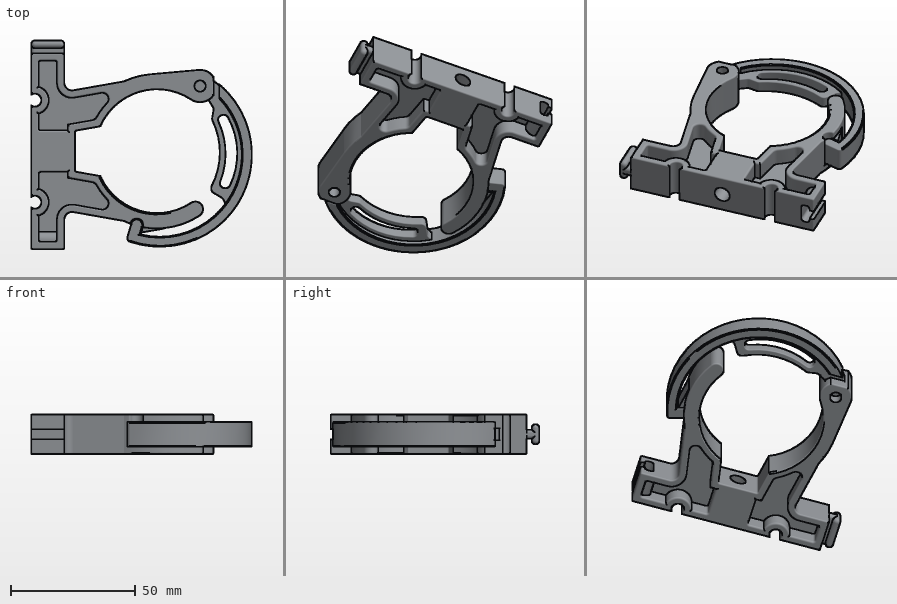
import cadquery as cq
import math

HOUSING_HEIGHT = 16.0
BASE_LENGTH = 78.85
BASE_DEPTH = 13.4
WALL = 3.0
EDGE_ROUND = 0.6
CORNER_ROUND = 0.7
BASE_FILLET = 3.0

RING_X = 50.6
RING_INNER_RADIUS = 24.9
RING_OUTER_RADIUS = 31.1
ARM_ANGLE = math.radians(10)
ARM_OUTER_Y = 23.9
SADDLE_X = 17.7
SADDLE_HALF_WIDTH = 8.2
TIP_ANGLE = math.radians(-56.5)

HINGE_X, HINGE_Y = 67.9, 26.2
HINGE_FLAT_X = 73.35
HINGE_HOLE_DIAMETER = 4.5
EYE_RADIUS = 5.0

POCKET_FLOOR = 0.6
POCKET_END_Y = 8.35
POCKET_MOUTH_ROUND = 0.8
POCKET_CORNER_ROUND = 0.9
POCKET_TIP_ROUND = 2.5
MOUNT_NOTCH_X, MOUNT_NOTCH_Y = 1.5, 20.5
MOUNT_NOTCH_RADIUS = 2.6
SCREW_HOLE_DIAMETER = 6.5

COUPLING_REACH = 5.15
BAR_DIAMETER = 3.2
BAR_HEIGHT = 8.2
BAR_ROUND = 1.59
STEM_HEIGHT = 3.7
STEM_ROUND = 1.3
GROOVE_DEPTH = 5.3
GROOVE_WIDTH = 3.55
GROOVE_ROUND = 1.4
GROOVE_WALL = 1.8
NECK_HEIGHT = 4.1

LATCH_THICKNESS = 9.95
WEB_THICKNESS = 5.0
LATCH_X, LATCH_Y = 51.8, -1.4
LATCH_OUTER_RADIUS = 37.0
RIM_WIDTH = 4.1
RIM_START_X = 75.7
RIM_SECTOR_SIZE = 53.3
LATCH_ROUND = 0.4
WEB_INSET = 0.3
WEB_START_ANGLE = math.radians(59)
WEB_END_ANGLE = math.radians(-40)
WEB_LOWER_NICK = (77.1, -19.0)
WEB_LOWER_LOBE = (71.6, -15.7)
WEB_INNER_MIDDLE = (75.8, -0.6)
WEB_UPPER_LOBE = (72.6, 12.8)
WEB_UPPER_NICK = (73.4, 17.1)
WEB_NECK = (70.3, 22.2)
WEB_CORNER_ROUND = 2.2
WINDOW_TOP_INNER = (74.3, 13.9)
WINDOW_TOP_OUTER = (78.4, 14.8)
WINDOW_OUTER_MIDDLE = (82.85, -1.1)
WINDOW_BOTTOM_OUTER = (79.4, -14.8)
WINDOW_BOTTOM_INNER = (74.95, -14.7)
WINDOW_INNER_MIDDLE = (78.2, -0.6)
WINDOW_CORNER_ROUND = 1.9
HOOK_X, HOOK_Y = 42.45, -29.7
HOOK_WIDTH = 4.4
HOOK_LENGTH = 10.7
HOOK_TILT = 16.5
HOOK_HEEL_ROUND = 1.6
HOOK_CLEARANCE = 0.35

TOOTH_START = (53.3, -31.2)
TOOTH_CREST = (44.1, -32.8)
TOOTH_ROOT_Y = -29.3

half_height = HOUSING_HEIGHT / 2
half_length = BASE_LENGTH / 2
half_latch = LATCH_THICKNESS / 2
half_web = WEB_THICKNESS / 2
hinge_distance = math.hypot(HINGE_X - RING_X, HINGE_Y)
hinge_angle = math.atan2(HINGE_Y, HINGE_X - RING_X)
hinge_radius = hinge_distance - RING_INNER_RADIUS
hook_room_radius = HOOK_WIDTH / 2 + HOOK_CLEARANCE
groove_y = -half_length + GROOVE_DEPTH - GROOVE_WIDTH / 2


def prism(outline, bottom, top):
    return outline.extrude(top - bottom).translate((0, 0, bottom))


def disc(x, y, radius, bottom, top):
    return prism(cq.Workplane("XY").center(x, y).circle(radius), bottom, top)


def box(x0, x1, y0, y1, z0, z1):
    return cq.Workplane("XY").box(x1 - x0, y1 - y0, z1 - z0, centered=False).translate((x0, y0, z0))


def round_upright_edge(body, point, radius, z=0):
    """Fillet the vertical edge nearest to the given (x, y)."""
    return body.edges(cq.selectors.NearestToPointSelector((*point, z))).fillet(radius)


def polar(x, y, radius, angle):
    return (x + radius * math.cos(angle), y + radius * math.sin(angle))


def on_ring(radius, angle):
    return polar(RING_X, 0, radius, angle)


def on_hinge(angle):
    return polar(HINGE_X, HINGE_Y, hinge_radius, angle)


def on_web(angle):
    return polar(LATCH_X, LATCH_Y, LATCH_OUTER_RADIUS - WEB_INSET, angle)


def ring_angle(point):
    return math.atan2(point[1], point[0] - RING_X)


def mirrored(point):
    return (point[0], -point[1])


def flank_y(x, start):
    """Y at the given x of an upper-arm flank that passes through the start point."""
    return start[1] + (x - start[0]) * math.tan(ARM_ANGLE)


def flank_end(start, radius):
    """Point where an upper-arm flank runs into a circle around the ring centre."""
    offset_x = start[0] - RING_X
    along = offset_x * math.cos(ARM_ANGLE) + start[1] * math.sin(ARM_ANGLE)
    reach = -along - math.sqrt(along**2 - offset_x**2 - start[1] ** 2 + radius**2)
    return (start[0] + reach * math.cos(ARM_ANGLE), start[1] + reach * math.sin(ARM_ANGLE))


arm_root = (BASE_DEPTH, ARM_OUTER_Y)
saddle_corner = (SADDLE_X, SADDLE_HALF_WIDTH)


def housing_outline():
    """Base bar, two flaring arms, clamp ring and hinge end as one closed outline."""
    inner_lip = flank_end(saddle_corner, RING_INNER_RADIUS)
    outer_lip = flank_end(arm_root, RING_OUTER_RADIUS)
    inner_angle = ring_angle(inner_lip)
    outer_angle = ring_angle(outer_lip)
    back_angle = hinge_angle + math.acos((RING_OUTER_RADIUS - hinge_radius) / hinge_distance)
    flat_angle = math.acos((HINGE_FLAT_X - HINGE_X) / hinge_radius)
    hinge_inside_angle = hinge_angle - math.pi
    tip_center = on_ring((RING_INNER_RADIUS + RING_OUTER_RADIUS) / 2, TIP_ANGLE)
    tip_radius = (RING_OUTER_RADIUS - RING_INNER_RADIUS) / 2
    tip_end = polar(*tip_center, tip_radius, TIP_ANGLE + math.pi / 2)
    lower_inner_mid = 2 * math.pi + (TIP_ANGLE - inner_angle) / 2
    lower_outer_mid = 2 * math.pi + (TIP_ANGLE - outer_angle) / 2
    return (
        cq.Workplane("XY")
        .moveTo(0, -half_length)
        .lineTo(0, half_length)
        .lineTo(BASE_DEPTH, half_length)
        .lineTo(*arm_root)
        .lineTo(*outer_lip)
        .threePointArc(
            on_ring(RING_OUTER_RADIUS, (outer_angle + back_angle) / 2),
            on_ring(RING_OUTER_RADIUS, back_angle),
        )
        .lineTo(*on_hinge(back_angle))
        .threePointArc(on_hinge((back_angle + flat_angle) / 2), on_hinge(flat_angle))
        .lineTo(*on_hinge(-flat_angle))
        .threePointArc(on_hinge((hinge_inside_angle - flat_angle) / 2), on_hinge(hinge_inside_angle))
        .threePointArc(on_ring(RING_INNER_RADIUS, (inner_angle + hinge_angle) / 2), inner_lip)
        .lineTo(*saddle_corner)
        .lineTo(*mirrored(saddle_corner))
        .lineTo(*mirrored(inner_lip))
        .threePointArc(
            on_ring(RING_INNER_RADIUS, lower_inner_mid),
            on_ring(RING_INNER_RADIUS, TIP_ANGLE),
        )
        .threePointArc(tip_end, on_ring(RING_OUTER_RADIUS, TIP_ANGLE))
        .threePointArc(on_ring(RING_OUTER_RADIUS, lower_outer_mid), mirrored(outer_lip))
        .lineTo(*mirrored(arm_root))
        .lineTo(BASE_DEPTH, -half_length)
        .close()
    )


def hook_notch():
    return disc(HOOK_X, HOOK_Y, hook_room_radius, -half_latch, half_height)


def notch_corners():
    """Points where the hook notch meets the outer side of the lower arm."""
    distance = math.hypot(HOOK_X - RING_X, HOOK_Y)
    cosine = (RING_OUTER_RADIUS**2 + distance**2 - hook_room_radius**2) / (2 * RING_OUTER_RADIUS * distance)
    spread = math.acos(cosine)
    direction = ring_angle((HOOK_X, HOOK_Y))
    return [on_ring(RING_OUTER_RADIUS, direction + sign * spread) for sign in (1, -1)]


def housing_blank():
    """Solid housing with rounded corners and rims, before pockets, holes and the coupling."""
    body = prism(housing_outline(), -half_height, half_height)
    for point in (arm_root, mirrored(arm_root)):
        body = round_upright_edge(body, point, BASE_FILLET)
    for point in (saddle_corner, mirrored(saddle_corner), (BASE_DEPTH, -half_length), (0, -half_length)):
        body = round_upright_edge(body, point, CORNER_ROUND)
    for y in (MOUNT_NOTCH_Y, -MOUNT_NOTCH_Y):
        body = body.cut(disc(MOUNT_NOTCH_X, y, MOUNT_NOTCH_RADIUS, -half_height, half_height))
    body = body.cut(hook_notch())
    for point in notch_corners():
        body = round_upright_edge(body, point, CORNER_ROUND, (half_height - half_latch) / 2)
    return body.faces("<Z or >Z").edges().fillet(EDGE_ROUND)


def arm_pocket():
    """Top pocket of the upper arm, one wall thickness inside the housing outline."""
    rise = WALL / math.cos(ARM_ANGLE)
    wall_x = BASE_DEPTH - WALL
    step_x = SADDLE_X - WALL
    ring_radius = RING_INNER_RADIUS + WALL
    inner_flank = (SADDLE_X, SADDLE_HALF_WIDTH + rise)
    outer_flank = (BASE_DEPTH, ARM_OUTER_Y - rise)
    inner_end = flank_end(inner_flank, ring_radius)
    outer_end = flank_end(outer_flank, ring_radius)
    bend = (wall_x, flank_y(wall_x, outer_flank))
    end_middle = on_ring(ring_radius, (ring_angle(inner_end) + ring_angle(outer_end)) / 2)
    outline = (
        cq.Workplane("XY")
        .moveTo(WALL, POCKET_END_Y)
        .lineTo(WALL, half_length - WALL)
        .lineTo(wall_x, half_length - WALL)
        .lineTo(*bend)
        .lineTo(*outer_end)
        .threePointArc(end_middle, inner_end)
        .lineTo(step_x, flank_y(step_x, inner_flank))
        .lineTo(step_x, POCKET_END_Y)
        .close()
    )
    body = prism(outline, POCKET_FLOOR, half_height)
    middle_z = (POCKET_FLOOR + half_height) / 2
    body = round_upright_edge(body, bend, BASE_FILLET + WALL, middle_z)
    for point in (outer_end, inner_end):
        body = round_upright_edge(body, point, POCKET_TIP_ROUND, middle_z)
    for point in ((WALL, POCKET_END_Y), (WALL, half_length - WALL), (wall_x, half_length - WALL)):
        body = round_upright_edge(body, point, POCKET_CORNER_ROUND, middle_z)
    return body.cut(
        disc(MOUNT_NOTCH_X, MOUNT_NOTCH_Y, MOUNT_NOTCH_RADIUS + WALL, POCKET_FLOOR, half_height)
    )


def cut_pockets(body):
    """Cut the same pocket into both arms from above and below and round the mouths."""
    top_pocket = arm_pocket()
    for pocket in (top_pocket, top_pocket.mirror("XZ")):
        body = body.cut(pocket).cut(pocket.mirror("XY"))
    mouths = [
        edge
        for face in body.faces("<Z or >Z").vals()
        for wire in face.innerWires()
        for edge in wire.Edges()
    ]
    return body.newObject(mouths).fillet(POCKET_MOUTH_ROUND)


def add_coupling_bar(body):
    """T bar along X, fully rounded, on a stem with rounded ends."""
    end_y = half_length + COUPLING_REACH
    bar = box(0, BASE_DEPTH, end_y - BAR_DIAMETER, end_y, -BAR_HEIGHT / 2, BAR_HEIGHT / 2)
    stem = box(
        0, BASE_DEPTH, half_length - WALL / 2, end_y - BAR_DIAMETER / 2, -STEM_HEIGHT / 2, STEM_HEIGHT / 2
    )
    return body.union(stem.edges("|Y").fillet(STEM_ROUND)).union(bar.edges().fillet(BAR_ROUND))


def cut_coupling_groove(body):
    """T groove through the base along X, with a round wall around it inside the pockets."""
    half_width = GROOVE_WIDTH / 2
    wall_round = (
        cq.Workplane("YZ")
        .center(groove_y, 0)
        .slot2D(BAR_HEIGHT + 2 * GROOVE_WALL, GROOVE_WIDTH + 2 * GROOVE_WALL, 90)
        .extrude(BASE_DEPTH - WALL)
        .translate((WALL / 2, 0, 0))
    )
    inside_base = box(0, BASE_DEPTH, WALL / 2 - half_length, 0, -half_height, half_height)
    groove = box(
        0, BASE_DEPTH, groove_y - half_width, groove_y + half_width, -BAR_HEIGHT / 2, BAR_HEIGHT / 2
    )
    neck = box(0, BASE_DEPTH, -half_length, groove_y, -NECK_HEIGHT / 2, NECK_HEIGHT / 2)
    body = body.union(wall_round.intersect(inside_base))
    return body.cut(groove.edges("|X").fillet(GROOVE_ROUND)).cut(neck)


def snap_tooth():
    outline = cq.Workplane("XY").polyline(
        [TOOTH_START, TOOTH_CREST, (TOOTH_CREST[0], TOOTH_ROOT_Y), (TOOTH_START[0], TOOTH_ROOT_Y)]
    )
    return prism(outline.close(), -half_latch, half_latch).cut(hook_finger(hook_room_radius))


def make_housing():
    body = cut_pockets(housing_blank())
    body = cut_coupling_groove(add_coupling_bar(body))
    body = body.union(snap_tooth())
    body = body.cut(cq.Workplane("YZ").circle(SCREW_HOLE_DIAMETER / 2).extrude(SADDLE_X))
    body = body.cut(disc(HINGE_X, HINGE_Y, HINGE_HOLE_DIAMETER / 2, -half_height, half_height))
    return body.cut(web_blank().union(hinge_eye()))


def hook_finger(radius):
    """Round-tipped finger that reaches from the rim towards the ring."""
    finger = box(-radius, radius, -HOOK_LENGTH, 0, -half_latch, half_latch)
    finger = finger.union(disc(0, 0, radius, -half_latch, half_latch))
    return finger.rotate((0, 0, 0), (0, 0, 1), -HOOK_TILT).translate((HOOK_X, HOOK_Y, 0))


def web_outline():
    """Outer edge just inside the latch circle, then the free inner edge up to the neck under the cheeks."""
    return (
        cq.Workplane("XY")
        .moveTo(*on_web(WEB_START_ANGLE))
        .threePointArc(on_web(0), on_web(WEB_END_ANGLE))
        .lineTo(*WEB_LOWER_NICK)
        .lineTo(*WEB_LOWER_LOBE)
        .threePointArc(WEB_INNER_MIDDLE, WEB_UPPER_LOBE)
        .lineTo(*WEB_UPPER_NICK)
        .lineTo(*WEB_NECK)
        .lineTo(HINGE_X, HINGE_Y)
        .close()
    )


def web_window():
    """Curved slot with round ends that follows the web and widens slightly towards its lower end."""
    outline = (
        cq.Workplane("XY")
        .moveTo(*WINDOW_TOP_INNER)
        .lineTo(*WINDOW_TOP_OUTER)
        .threePointArc(WINDOW_OUTER_MIDDLE, WINDOW_BOTTOM_OUTER)
        .lineTo(*WINDOW_BOTTOM_INNER)
        .threePointArc(WINDOW_INNER_MIDDLE, WINDOW_TOP_INNER)
        .close()
    )
    return prism(outline, -half_web, half_web).edges("|Z").fillet(WINDOW_CORNER_ROUND)


def hinge_eye():
    return disc(HINGE_X, HINGE_Y, EYE_RADIUS, -half_web, half_web)


def web_blank():
    """Web with rounded corners, before its window and edge rounds."""
    web = prism(web_outline(), -half_web, half_web)
    for point in (WEB_LOWER_NICK, WEB_LOWER_LOBE, WEB_UPPER_LOBE, WEB_UPPER_NICK):
        web = round_upright_edge(web, point, WEB_CORNER_ROUND)
    return web


def latch_web():
    """Web with its window, rounded edges and the hinge eye."""
    web = web_blank().cut(web_window())
    web = web.faces("<Z or >Z").edges().fillet(LATCH_ROUND)
    return web.union(hinge_eye())


def latch_rim():
    """Thick arc from the hinge down to the hook."""
    full = disc(LATCH_X, LATCH_Y, LATCH_OUTER_RADIUS, -half_latch, half_latch)
    rim = full.cut(disc(LATCH_X, LATCH_Y, LATCH_OUTER_RADIUS - RIM_WIDTH, -half_latch, half_latch))
    sector = cq.Workplane("XY").polyline(
        [
            (HOOK_X, HOOK_Y),
            (HOOK_X, -RIM_SECTOR_SIZE),
            (2 * RIM_SECTOR_SIZE, -RIM_SECTOR_SIZE),
            (2 * RIM_SECTOR_SIZE, RIM_SECTOR_SIZE),
            (RIM_START_X, RIM_SECTOR_SIZE),
            (RIM_START_X, LATCH_Y),
        ]
    )
    rim = rim.intersect(prism(sector.close(), -half_latch, half_latch))
    rim = rim.union(hook_finger(HOOK_WIDTH / 2).intersect(full))
    rim = rim.edges("|Z").edges("<X").fillet(HOOK_HEEL_ROUND)
    return rim.faces("<Z or >Z").edges().fillet(LATCH_ROUND)


def make_latch():
    return latch_rim().union(latch_web())


housing = make_housing()
latch = make_latch()
result = cq.Compound.makeCompound([housing.val(), latch.val()])